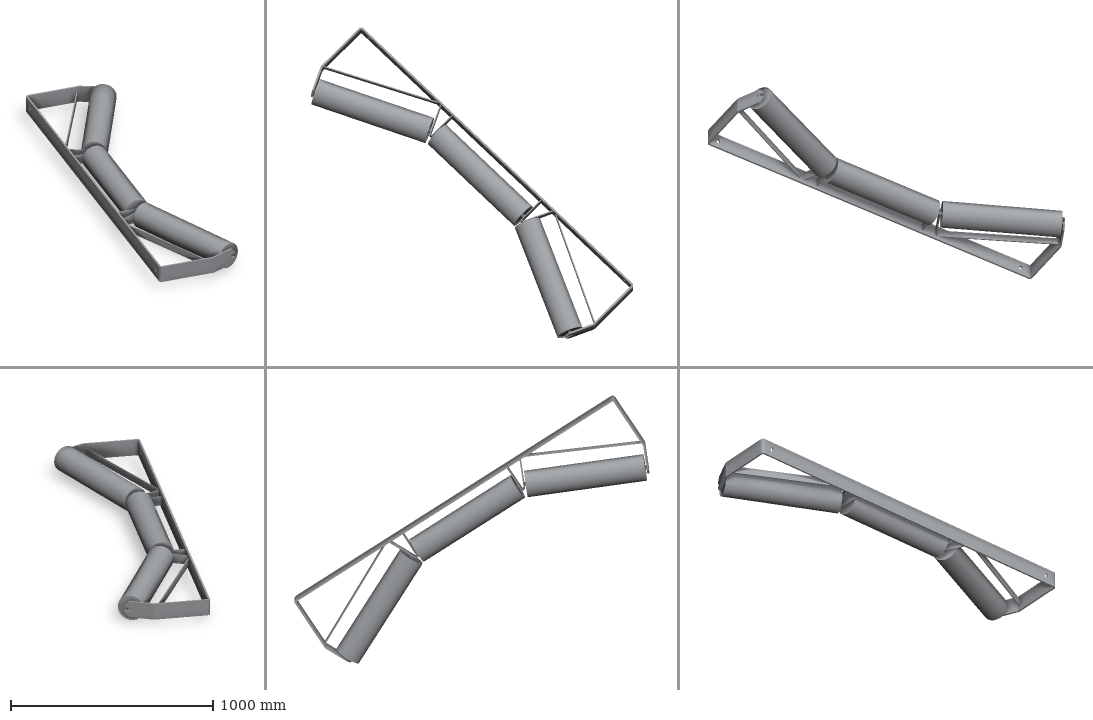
import cadquery as cq
import math

frame_length = 1890.0
overall_depth = 448.0
bar_width = 85.0
frame_thickness = 10.0
bend_radius = 15.0
arm_tip_chamfer = 23.0
mount_slot_width = 17.0
mount_slot_height = 26.0
mount_slot_x = 883.0

trough_angle = 25.0
roller_diameter = 132.0
roller_length = 595.0
rim_wall = 4.0
rim_depth = 8.0
shaft_size = 17.0
shaft_gap = 8.0
centre_axis_y = 125.0
outer_roller_x = 609.0

support_rise = 28.0
bracket_width = 47.0
bracket_thickness = 5.0
brace_thickness = 5.0
brace_width = 38.0
brace_top_y = 274.0
brace_foot_x = 403.0

cos_tilt = math.cos(math.radians(trough_angle))
sin_tilt = math.sin(math.radians(trough_angle))
half_roller = roller_length / 2
outer_roller_y = overall_depth - half_roller * sin_tilt - roller_diameter / 2 * cos_tilt
support_face = half_roller + shaft_gap
frame_inner_x = frame_length / 2 - frame_thickness


def tilted(along, across):
    """Point given along and across the axis of the right outer roller."""
    x = outer_roller_x + along * cos_tilt - across * sin_tilt
    y = outer_roller_y + along * sin_tilt + across * cos_tilt
    return (x, y)


def tilted_at_x(along, x):
    """Point at a given X on the line square to the tilted axis at the distance along."""
    return tilted(along, (outer_roller_x + along * cos_tilt - x) / sin_tilt)


def tilted_at_y(along, y):
    """Point at a given Y on the line square to the tilted axis at the distance along."""
    return tilted(along, (y - outer_roller_y - along * sin_tilt) / cos_tilt)


def mirrored(points):
    """Mirror image across X = 0, in reverse order so that it continues the outline."""
    return [(-x, y) for x, y in reversed(points)]


def prism(points, width):
    """Outline in XY, extruded evenly to both sides of Z = 0."""
    base = cq.Workplane("XY").workplane(offset=-width / 2)
    return base.polyline(points).close().extrude(width)


def shaft_slot(x, y, angle, length):
    """Open slot for a shaft, running from the underside of the shaft out past the support edge."""
    depth = shaft_size / 2 + 2 * support_rise
    slot = cq.Workplane("XY").box(length, depth, shaft_size)
    slot = slot.translate((0, depth / 2 - shaft_size / 2, 0))
    return slot.rotate((0, 0, 0), (0, 0, 1), angle).translate((x, y, 0))


def round_bends(body, points, radius):
    """Fillet the upright edges that stand at the given outline points."""
    for x, y in points:
        edge = cq.selectors.NearestToPointSelector((x, y, 0))
        body = body.edges("|Z").edges(edge).fillet(radius)
    return body


def make_frame():
    arm_outer = support_face + frame_thickness
    right_outer = [
        (frame_length / 2, 0),
        tilted_at_x(arm_outer, frame_length / 2),
        tilted(arm_outer, support_rise),
    ]
    right_inner = [
        tilted(support_face, support_rise),
        tilted_at_x(support_face, frame_inner_x),
        (frame_inner_x, frame_thickness),
    ]
    right_side = right_outer + right_inner
    frame = prism(right_side + mirrored(right_side), bar_width)

    outer_bends = right_outer[:2]
    inner_bends = right_inner[1:]
    frame = round_bends(frame, outer_bends + mirrored(outer_bends), bend_radius)
    frame = round_bends(frame, inner_bends + mirrored(inner_bends), bend_radius - frame_thickness)

    tip = tilted(support_face + frame_thickness / 2, support_rise)
    for side in (-1, 1):
        for level in (-1, 1):
            corner = (side * tip[0], tip[1], level * bar_width / 2)
            frame = frame.edges(cq.selectors.NearestToPointSelector(corner)).chamfer(arm_tip_chamfer)

    x, y = tilted(half_roller, 0)
    for side in (-1, 1):
        frame = frame.cut(shaft_slot(side * x, y, side * trough_angle, 4 * frame_thickness))

    mounts = (
        cq.Workplane("XZ")
        .pushPoints([(-mount_slot_x, 0), (mount_slot_x, 0)])
        .slot2D(mount_slot_height, mount_slot_width, 90)
        .extrude(-frame_thickness)
    )
    return frame.cut(mounts)


def make_roller(x, y, angle):
    """Drum with recessed ends on a square shaft just long enough to cross a bracket wall."""
    shaft_length = 2 * (support_face + bracket_thickness)
    drum_end = cq.Workplane("YZ").workplane(offset=-half_roller)
    drum = drum_end.circle(roller_diameter / 2).extrude(roller_length)
    recess = drum_end.circle(roller_diameter / 2 - rim_wall).extrude(rim_depth)
    drum = drum.cut(recess).cut(recess.mirror("YZ"))
    shaft = cq.Workplane("XY").box(shaft_length, shaft_size, shaft_size)
    roller = drum.union(shaft)
    return roller.rotate((0, 0, 0), (0, 0, 1), angle).translate((x, y, 0))


def make_bracket(side):
    """Bent support standing on the base between the centre roller and an outer one."""
    top_y = centre_axis_y + support_rise
    near_x = support_face
    far_x = near_x + bracket_thickness
    lean_near = -support_face
    lean_far = lean_near - bracket_thickness
    under_y = top_y - bracket_thickness
    profile = [
        (near_x, frame_thickness),
        (near_x, top_y),
        tilted_at_y(lean_near, top_y),
        tilted_at_y(lean_near, frame_thickness),
        tilted_at_y(lean_far, frame_thickness),
        tilted_at_y(lean_far, under_y),
        (far_x, under_y),
        (far_x, frame_thickness),
    ]
    bracket = prism(profile, bracket_width)
    bracket = bracket.cut(shaft_slot(near_x, centre_axis_y, 0, 2 * bracket_thickness))
    x, y = tilted(lean_near, 0)
    bracket = bracket.cut(shaft_slot(x, y, trough_angle, 2 * bracket_thickness))
    return bracket if side > 0 else bracket.mirror("YZ")


def make_brace(side):
    """Flat strut from the base up to the frame side."""
    run = frame_inner_x - brace_foot_x
    rise = brace_top_y - frame_thickness
    length = math.hypot(run, rise)
    profile = [
        (brace_foot_x, frame_thickness),
        (brace_foot_x + brace_thickness * length / rise, frame_thickness),
        (frame_inner_x, brace_top_y - brace_thickness * length / run),
        (frame_inner_x, brace_top_y),
    ]
    brace = prism(profile, brace_width)
    return brace if side > 0 else brace.mirror("YZ")


frame = make_frame()
roller_places = [
    (-outer_roller_x, outer_roller_y, -trough_angle),
    (0, centre_axis_y, 0),
    (outer_roller_x, outer_roller_y, trough_angle),
]
rollers = [make_roller(x, y, angle) for x, y, angle in roller_places]
brackets = [make_bracket(side) for side in (-1, 1)]
braces = [make_brace(side) for side in (-1, 1)]

bodies = [frame] + rollers + brackets + braces
result = cq.Compound.makeCompound([body.solids().val() for body in bodies])